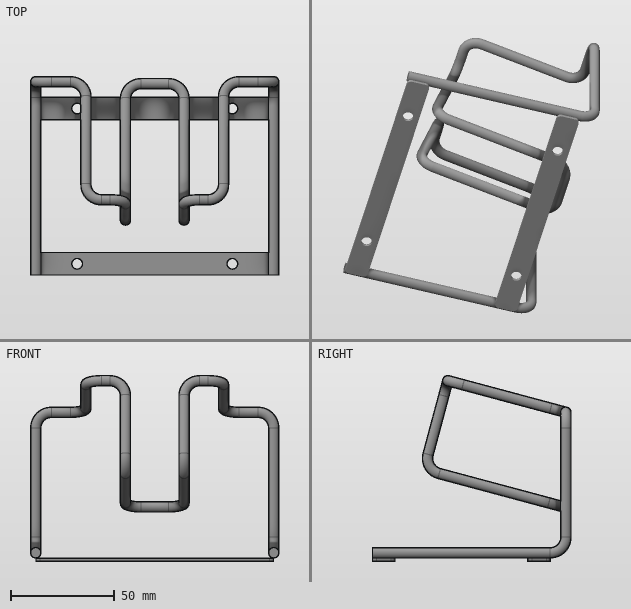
import cadquery as cq
import math

rod_diameter = 5.0
bend_radius = 1.5 * rod_diameter
overall_width = 120.0
overall_depth = 96.0
overall_height = 89.8

tilt = math.radians(15)
upper_arm_length = 59.0
drop_length = 44.4
lower_arm_length = 70.0
shoulder_x = 33.2
finger_x = 14.2

plate_width = 11.0
plate_thickness = 1.5
plate_corner_radius = 2.0
hole_diameter = 5.0
hole_spacing_x = 75.0
plate_spacing_y = 75.0

rod_radius = rod_diameter / 2
side_x = overall_width / 2 - rod_radius
back_y = overall_depth - rod_radius
base_z = plate_thickness + rod_radius
top_z = overall_height - rod_radius
plate_length = 2 * side_x


def left_corners():
    """Sharp corners of the left half of the centreline, from the front end to the middle loop."""
    forward_run = upper_arm_length * math.cos(tilt)
    shoulder_z = top_z - upper_arm_length * math.sin(tilt)
    top_y = back_y - forward_run
    drop_y = top_y - drop_length * math.sin(tilt)
    drop_z = top_z - drop_length * math.cos(tilt)
    loop_y = drop_y + lower_arm_length * math.cos(tilt)
    loop_z = drop_z - lower_arm_length * math.sin(tilt)
    return [
        cq.Vector(-side_x, 0, base_z),
        cq.Vector(-side_x, back_y, base_z),
        cq.Vector(-side_x, back_y, shoulder_z),
        cq.Vector(-shoulder_x, back_y, shoulder_z),
        cq.Vector(-shoulder_x, top_y, top_z),
        cq.Vector(-finger_x, top_y, top_z),
        cq.Vector(-finger_x, drop_y, drop_z),
        cq.Vector(-finger_x, loop_y, loop_z),
    ]


def bent_path(corners):
    """Wire through the corners, with a tangent arc of the bend radius at each right-angle corner."""
    edges = []
    start = corners[0]
    for before, corner, after in zip(corners, corners[1:], corners[2:]):
        to_before = (before - corner).normalized() * bend_radius
        to_after = (after - corner).normalized() * bend_radius
        bend_start = corner + to_before
        bend_end = corner + to_after
        bend_middle = corner + (to_before + to_after) * (1 - math.sqrt(0.5))
        edges.append(cq.Edge.makeLine(start, bend_start))
        edges.append(cq.Edge.makeThreePointArc(bend_start, bend_middle, bend_end))
        start = bend_end
    edges.append(cq.Edge.makeLine(start, corners[-1]))
    return cq.Wire.assembleEdges(edges)


def make_rod():
    left = left_corners()
    right = [cq.Vector(-corner.x, corner.y, corner.z) for corner in reversed(left)]
    path = bent_path(left + right)
    front_end = cq.Workplane("XZ", origin=left[0].toTuple())
    return front_end.circle(rod_radius).sweep(cq.Workplane(path))


def make_plate(center_y):
    plate = cq.Workplane("XY", origin=(0, center_y, 0)).rect(plate_length, plate_width)
    plate = plate.extrude(plate_thickness).edges("|Z").fillet(plate_corner_radius)
    holes = plate.faces(">Z").workplane(origin=(0, center_y, 0))
    return holes.rarray(hole_spacing_x, 1.2, 2, 1).hole(hole_diameter)


rod = make_rod()

front_plate_y = plate_width / 2
plates = []
for row in range(2):
    plates.append(make_plate(front_plate_y + row * plate_spacing_y))

result = cq.Compound.makeCompound([rod.val(), *[plate.val() for plate in plates]])